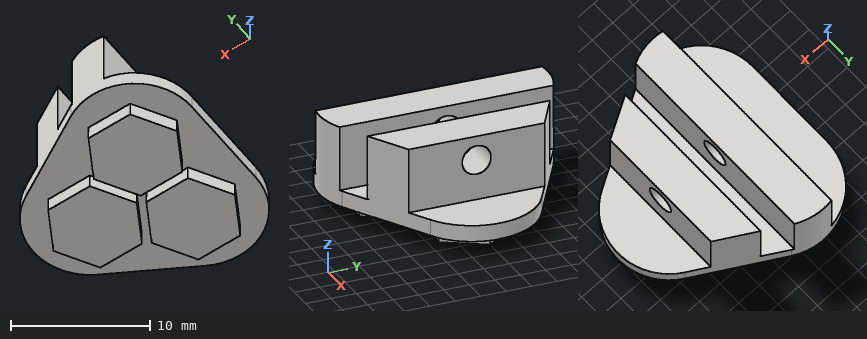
import cadquery as cq
import math

corner_spacing = 7.87
corner_radius = 5.05
plate_thickness = 1.28

foot_spacing = 7.1
foot_across_flats = 6.4
foot_height = 1.28

wall_height = 5.06
wall_thickness = 3.18
slot_width = 2.15

hole_diameter = 2.26
hole_height_above_plate = 3.16


def triangle_points(side):
    """Corners of a centred equilateral triangle pointing toward +X."""
    reach = side / math.sqrt(3)
    angles = [math.radians(angle) for angle in (0, 120, 240)]
    return [(reach * math.cos(a), reach * math.sin(a)) for a in angles]


def rounded_triangle(height):
    """Prism with tangent arcs around the three corner centres, standing on Z = 0."""
    return (
        cq.Workplane("XY")
        .polyline(triangle_points(corner_spacing))
        .close()
        .offset2D(corner_radius, "arc")
        .extrude(height)
    )


def wall(x_start):
    """Wall cut to the plate outline, starting at x_start and reaching down to the plate bottom."""
    full_height = plate_thickness + wall_height
    outline_width = corner_spacing + 2 * corner_radius
    slab = (
        cq.Workplane("XY")
        .box(wall_thickness, outline_width, full_height, centered=(False, True, False))
        .translate((x_start, 0, 0))
    )
    return rounded_triangle(full_height).intersect(slab)


def feet():
    """Three separate hexagonal feet with vertices along X."""
    foot_across_corners = 2 * foot_across_flats / math.sqrt(3)
    return (
        cq.Workplane("XY")
        .pushPoints(triangle_points(foot_spacing))
        .polygon(6, foot_across_corners)
        .extrude(-foot_height)
    )


plate_right = corner_spacing / math.sqrt(3) + corner_radius
plate_left = -corner_spacing / (2 * math.sqrt(3)) - corner_radius
slot_center = (plate_left + plate_right) / 2

body = rounded_triangle(plate_thickness)
for wall_start in (slot_center - slot_width / 2 - wall_thickness, slot_center + slot_width / 2):
    body = body.union(wall(wall_start))
body = body.union(feet())

pin_hole = (
    cq.Workplane("YZ", origin=(plate_left, 0, plate_thickness + hole_height_above_plate))
    .circle(hole_diameter / 2)
    .extrude(plate_right - plate_left)
)

result = body.cut(pin_hole)